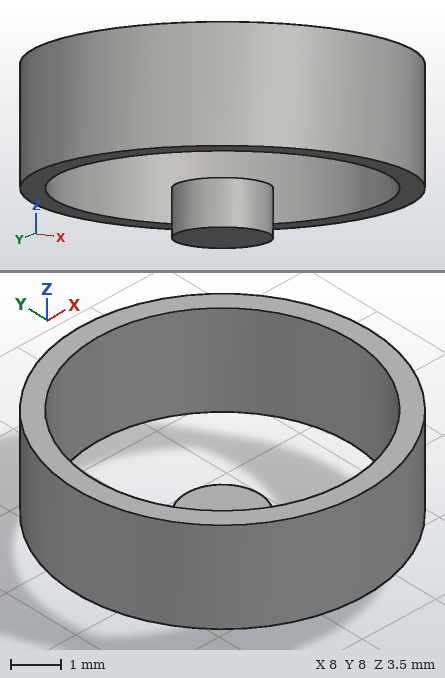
import cadquery as cq

ring_outer_diameter = 8.0
ring_inner_diameter = 7.0
pin_diameter = 2.0
pin_length = 1.0
overall_height = 3.5

ring_height = overall_height - pin_length


def make_ring():
    """Plain open ring standing on the Z = 0 plane."""
    return (
        cq.Workplane("XY")
        .circle(ring_outer_diameter / 2)
        .circle(ring_inner_diameter / 2)
        .extrude(ring_height)
    )


def make_pin():
    """Central pin hanging below the ring, its top face level with the ring's bottom."""
    return cq.Workplane("XY").circle(pin_diameter / 2).extrude(-pin_length)


ring = make_ring()
pin = make_pin()

result = cq.Compound.makeCompound([ring.val(), pin.val()])